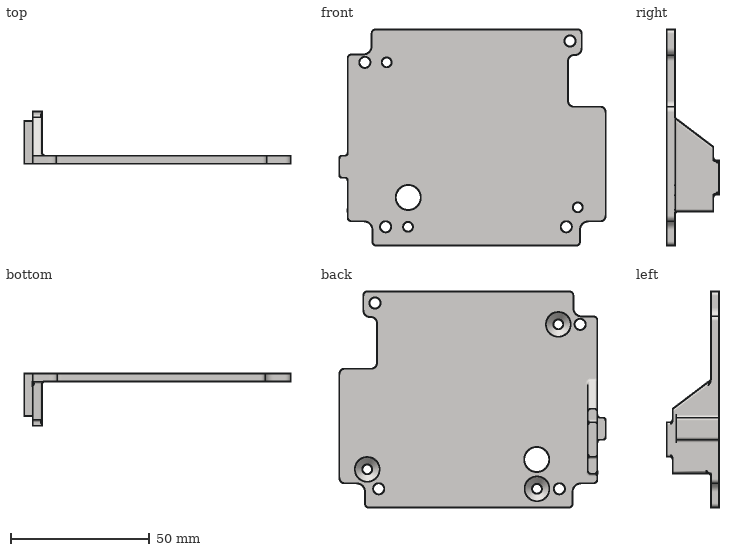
import cadquery as cq
import math

PLATE_RIGHT = 96.5
PLATE_TOP = 78.4
PLATE_THICKNESS = 3.0
PLATE_LEFT = 3.0

LOWER_STEP_Z = 8.8
LOWER_STEP_LEFT_X = 12.0
LOWER_STEP_RIGHT_X = 87.2
UPPER_STEP_X = 11.7
UPPER_STEP_Z = 69.3
EAR_RIGHT = 87.8
NOTCH_X = 82.9
NOTCH_TOP_Z = 69.0
NOTCH_BOTTOM_Z = 50.4

SMALL_CORNER = 1.5
MEDIUM_CORNER = 2.0
LARGE_CORNER = 2.5
STEP_FILLET = 3.0

MOUNT_HOLE_DIAMETER = 4.0
MOUNT_HOLES = [(9.3, 66.4), (83.6, 74.1), (16.8, 6.85), (82.2, 6.85)]
SCREW_HOLE_DIAMETER = 3.5
COUNTERSINK_DIAMETER = 9.0
COUNTERSINK_ANGLE = 90
SCREW_HOLES = [(17.2, 66.4), (24.9, 6.85), (86.4, 13.9)]
LARGE_HOLE_DIAMETER = 9.0
LARGE_HOLES = [(25.0, 17.5)]

FLANGE_THICKNESS = 3.5
FLANGE_BOTTOM_Z = 12.4
SLOPE_FOOT_Z = 46.3
SLOPE_HEAD_Z = 35.8
SHOULDER_Y = 16.9
TONGUE_END_Y = 19.0
TONGUE_BOTTOM_Z = 18.4
TONGUE_TOP_Z = 31.0
FLANGE_ROUNDING = 1.0

TAB_DEPTH = 15.5
TAB_BOTTOM_Z = 24.6
TAB_TOP_Z = 32.6
TAB_ROUNDING = 1.0


def nearest_edge(solid, point):
    return solid.edges(cq.NearestToPointSelector(point))


def make_plate():
    corners = [
        (LOWER_STEP_LEFT_X, 0, SMALL_CORNER),
        (LOWER_STEP_RIGHT_X, 0, SMALL_CORNER),
        (LOWER_STEP_RIGHT_X, LOWER_STEP_Z, STEP_FILLET),
        (PLATE_RIGHT, LOWER_STEP_Z, MEDIUM_CORNER),
        (PLATE_RIGHT, NOTCH_BOTTOM_Z, MEDIUM_CORNER),
        (NOTCH_X, NOTCH_BOTTOM_Z, MEDIUM_CORNER),
        (NOTCH_X, NOTCH_TOP_Z, MEDIUM_CORNER),
        (EAR_RIGHT, NOTCH_TOP_Z, LARGE_CORNER),
        (EAR_RIGHT, PLATE_TOP, SMALL_CORNER),
        (UPPER_STEP_X, PLATE_TOP, SMALL_CORNER),
        (UPPER_STEP_X, UPPER_STEP_Z, STEP_FILLET),
        (PLATE_LEFT, UPPER_STEP_Z, SMALL_CORNER),
        (PLATE_LEFT, LOWER_STEP_Z, SMALL_CORNER),
        (LOWER_STEP_LEFT_X, LOWER_STEP_Z, STEP_FILLET),
    ]
    outline = [(x, z) for x, z, _ in corners]
    plate = cq.Workplane("XZ").polyline(outline).close().extrude(-PLATE_THICKNESS)
    for x, z, radius in corners:
        plate = nearest_edge(plate, (x, PLATE_THICKNESS / 2, z)).fillet(radius)
    return plate


def make_flange():
    profile = [
        (0, FLANGE_BOTTOM_Z),
        (SHOULDER_Y, FLANGE_BOTTOM_Z),
        (SHOULDER_Y, TONGUE_BOTTOM_Z),
        (TONGUE_END_Y, TONGUE_BOTTOM_Z),
        (TONGUE_END_Y, TONGUE_TOP_Z),
        (SHOULDER_Y, TONGUE_TOP_Z),
        (SHOULDER_Y, SLOPE_HEAD_Z),
        (PLATE_THICKNESS, SLOPE_FOOT_Z),
        (0, SLOPE_FOOT_Z),
    ]
    outer_face = cq.Workplane("YZ", origin=(PLATE_LEFT, 0, 0))
    return outer_face.polyline(profile).close().extrude(FLANGE_THICKNESS)


def round_flange(body):
    tongue_middle_y = (SHOULDER_Y + TONGUE_END_Y) / 2
    slope_middle_y = (PLATE_THICKNESS + SHOULDER_Y) / 2
    slope_middle_z = (SLOPE_FOOT_Z + SLOPE_HEAD_Z) / 2
    sides = [
        (slope_middle_y, FLANGE_BOTTOM_Z),
        (tongue_middle_y, TONGUE_BOTTOM_Z),
        (tongue_middle_y, TONGUE_TOP_Z),
        (slope_middle_y, slope_middle_z),
    ]
    for x in (PLATE_LEFT, PLATE_LEFT + FLANGE_THICKNESS):
        for y, z in sides:
            body = nearest_edge(body, (x, y, z)).fillet(FLANGE_ROUNDING)
    for z in (TONGUE_BOTTOM_Z, TONGUE_TOP_Z):
        middle_x = PLATE_LEFT + FLANGE_THICKNESS / 2
        body = nearest_edge(body, (middle_x, SHOULDER_Y, z)).fillet(FLANGE_ROUNDING)
    foot = (PLATE_LEFT + FLANGE_THICKNESS, PLATE_THICKNESS, (FLANGE_BOTTOM_Z + SLOPE_FOOT_Z) / 2)
    return nearest_edge(body, foot).fillet(FLANGE_ROUNDING)


def make_tab():
    r = TAB_ROUNDING
    return (
        cq.Workplane("XZ")
        .moveTo(PLATE_LEFT + r, TAB_TOP_Z + r)
        .lineTo(PLATE_LEFT, TAB_TOP_Z + r)
        .radiusArc((PLATE_LEFT - r, TAB_TOP_Z), r)
        .lineTo(r, TAB_TOP_Z)
        .radiusArc((0, TAB_TOP_Z - r), -r)
        .lineTo(0, TAB_BOTTOM_Z + r)
        .radiusArc((r, TAB_BOTTOM_Z), -r)
        .lineTo(PLATE_LEFT - r, TAB_BOTTOM_Z)
        .radiusArc((PLATE_LEFT, TAB_BOTTOM_Z - r), r)
        .lineTo(PLATE_LEFT + r, TAB_BOTTOM_Z - r)
        .close()
        .extrude(-TAB_DEPTH)
    )


def make_holes(centres, diameter):
    return cq.Workplane("XZ").pushPoints(centres).circle(diameter / 2).extrude(-PLATE_THICKNESS)


def make_countersinks():
    half_angle = math.radians(COUNTERSINK_ANGLE / 2)
    narrow_radius = SCREW_HOLE_DIAMETER / 2
    wide_radius = COUNTERSINK_DIAMETER / 2
    depth = (wide_radius - narrow_radius) / math.tan(half_angle)
    back_centre = cq.Vector(0, PLATE_THICKNESS, 0)
    cone = cq.Solid.makeCone(wide_radius, narrow_radius, depth, pnt=back_centre, dir=cq.Vector(0, -1, 0))
    return [cone.translate(cq.Vector(x, 0, z)) for x, z in SCREW_HOLES]


result = make_plate().union(make_flange())
result = round_flange(result)
result = result.union(make_tab())
result = result.cut(make_holes(MOUNT_HOLES, MOUNT_HOLE_DIAMETER))
result = result.cut(make_holes(SCREW_HOLES, SCREW_HOLE_DIAMETER))
result = result.cut(make_holes(LARGE_HOLES, LARGE_HOLE_DIAMETER))
for countersink in make_countersinks():
    result = result.cut(cq.Workplane(countersink))